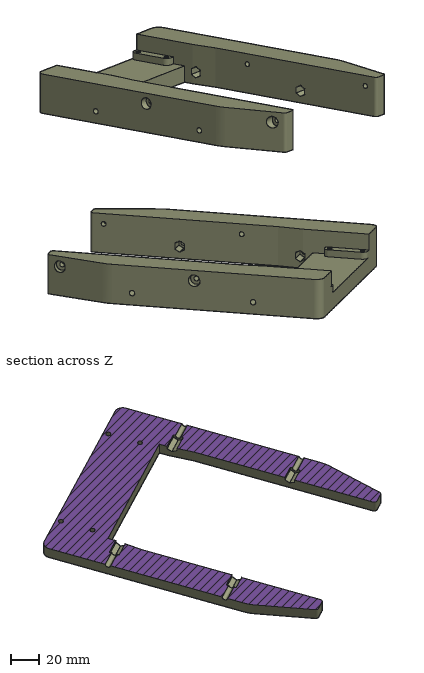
import cadquery as cq
import math

length = 205.5
width = 149.7
height = 29.0
half_width = width / 2

root_thickness = 25.0
arm_thickness = 23.5
step_start_x = 48.3
step_end_x = 67.2
rear_corner_radius = 6.0
taper_start_x = 158.0
taper_angle = 15.0
taper_blend_radius = 27.1
tip_radius = 2.3
root_inner_y = half_width - root_thickness
arm_inner_y = half_width - arm_thickness

bridge_length = 41.3
bridge_thickness = 12.1

pad_length = 31.8
pad_width = 7.2
pad_top_z = 17.3
pad_corner_radius = 4.0
pad_hole_diameter = 3.0
pad_hole_end_distance = 4.0
pad_hole_wall_distance = 3.5

upper_hole_xs = (94.0, 195.5)
upper_hole_z = 21.4
upper_hole_diameter = 3.5
counterbore_diameter = 8.5
counterbore_depth = 6.2
lower_hole_xs = (50.7, 139.7)
lower_hole_z = 8.8
lower_hole_diameter = 4.0
nut_across_corners = 8.2
nut_pocket_depth = 12.3
nut_rotation = 30.0


def make_arm():
    """Arm on the +Y side with rounded rear corner, tapered tip and slight inner step."""
    tip_y = half_width - (length - taper_start_x) * math.tan(math.radians(taper_angle))
    arm = (
        cq.Workplane("XY")
        .moveTo(0, root_inner_y)
        .lineTo(step_start_x, root_inner_y)
        .lineTo(step_end_x, arm_inner_y)
        .lineTo(length, arm_inner_y)
        .lineTo(length, tip_y)
        .lineTo(taper_start_x, half_width)
        .lineTo(0, half_width)
        .close()
        .extrude(height)
    )
    arm = arm.edges("|Z and >X").fillet(tip_radius)
    rear_corner = cq.selectors.NearestToPointSelector((0, half_width, height / 2))
    arm = arm.edges(rear_corner).fillet(rear_corner_radius)
    taper_corner = cq.selectors.NearestToPointSelector((taper_start_x, half_width, height / 2))
    return arm.edges(taper_corner).fillet(taper_blend_radius)


def make_pad():
    """Screw pad with its two free vertical corners rounded."""
    pad = cq.Workplane("XY").box(
        pad_length, pad_width, pad_top_z - bridge_thickness, centered=False
    )
    pad = pad.edges("|Z and <Y").fillet(pad_corner_radius)
    return pad.translate((0, root_inner_y - pad_width, bridge_thickness))


def make_pad_holes():
    """Vertical cutters through the pad and the bridge."""
    hole_y = root_inner_y - pad_hole_wall_distance
    hole_xs = (pad_hole_end_distance, pad_length - pad_hole_end_distance)
    return (
        cq.Workplane("XY")
        .pushPoints([(x, hole_y) for x in hole_xs])
        .circle(pad_hole_diameter / 2)
        .extrude(pad_top_z)
    )


def outer_face_y(x):
    """Y of the arm's outer face at a given X."""
    return half_width - max(0, x - taper_start_x) * math.tan(math.radians(taper_angle))


def plane_facing_out(x, y, z):
    """Workplane at a point, with its normal along +Y."""
    return cq.Workplane(cq.Plane(origin=(x, y, z), xDir=(1, 0, 0), normal=(0, 1, 0)))


def make_upper_hole(x):
    """Cross hole counterbored from the arm's outer face."""
    through = plane_facing_out(x, root_inner_y, upper_hole_z)
    through = through.circle(upper_hole_diameter / 2).extrude(root_thickness)
    recess = plane_facing_out(x, outer_face_y(x) - counterbore_depth, upper_hole_z)
    recess = recess.circle(counterbore_diameter / 2).extrude(root_thickness)
    return through.union(recess)


def make_lower_hole(x):
    """Cross hole with a hexagonal nut pocket in the arm's inner face."""
    through = plane_facing_out(x, root_inner_y, lower_hole_z)
    through = through.circle(lower_hole_diameter / 2).extrude(root_thickness)
    pocket = plane_facing_out(x, root_inner_y, lower_hole_z)
    pocket = pocket.polygon(6, nut_across_corners).extrude(nut_pocket_depth)
    pocket = pocket.rotate((x, 0, lower_hole_z), (x, 1, lower_hole_z), nut_rotation)
    return through.union(pocket)


half = make_arm().union(make_pad())
bridge = cq.Workplane("XY").box(
    bridge_length, 2 * root_inner_y, bridge_thickness, centered=(False, True, False)
)
fork = bridge.union(half).union(half.mirror("XZ"))
cutters = make_pad_holes()
for hole_x in upper_hole_xs:
    cutters = cutters.union(make_upper_hole(hole_x))
for hole_x in lower_hole_xs:
    cutters = cutters.union(make_lower_hole(hole_x))

result = fork.cut(cutters).cut(cutters.mirror("XZ"))